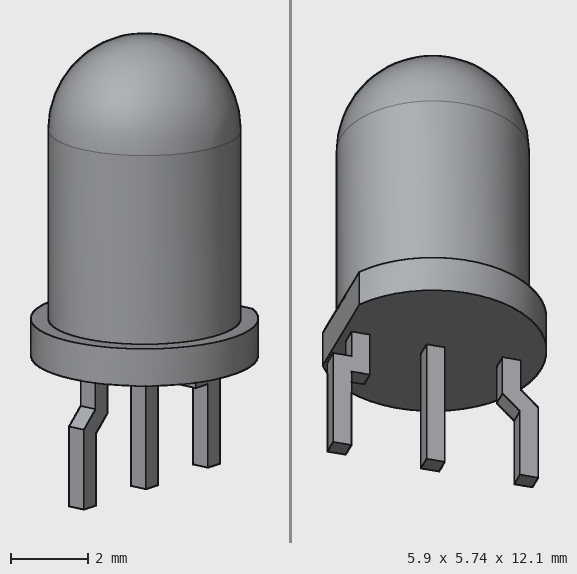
import cadquery as cq
import math

lens_diameter = 5.0
lens_radius = lens_diameter / 2
cylinder_height = 5.08
flange_diameter = 5.9
flange_radius = flange_diameter / 2
flange_height = 1.0
flat_y = lens_radius

lead_width = 0.5
lead_length = 3.5
rear_lead_length = 3.47
lead_pitch = 2.54

step_top_z = -0.75
step_height = 0.47
step_bottom_z = step_top_z - step_height

bend_offset = 0.475
bend_outer_z = -0.9
bend_inner_z = -1.11
bend_drop = 0.45


def make_housing():
    """Domed lens on its flange, with the flat on the +Y side of the flange."""
    dome_base_z = flange_height + cylinder_height
    dome_diagonal = lens_radius * math.sqrt(0.5)
    lens = (
        cq.Workplane("XZ")
        .lineTo(lens_radius, 0)
        .lineTo(lens_radius, dome_base_z)
        .threePointArc(
            (dome_diagonal, dome_base_z + dome_diagonal),
            (0, dome_base_z + lens_radius),
        )
        .close()
        .revolve(360, (0, 0, 0), (0, 1, 0))
    )
    flat_half_length = math.sqrt(flange_radius**2 - flat_y**2)
    flange = (
        cq.Workplane("XY")
        .moveTo(-flat_half_length, flat_y)
        .threePointArc((0, -flange_radius), (flat_half_length, flat_y))
        .close()
        .extrude(flange_height)
    )
    return flange.union(lens)


def make_lead(outline):
    """Lead with the given (y, z) outline, centred on x = 0."""
    return cq.Workplane("YZ").polyline(outline).close().extrude(lead_width / 2, both=True)


lower_outer_y = lead_pitch + lead_width / 2
lower_inner_y = lead_pitch - lead_width / 2

housing = make_housing()

centre_lead = make_lead([
    (-lead_width / 2, 0),
    (lead_width / 2, 0),
    (lead_width / 2, -lead_length),
    (-lead_width / 2, -lead_length),
])

rear_upper_inner_y = lower_inner_y - lead_width
rear_lead = make_lead([
    (rear_upper_inner_y, 0),
    (lower_inner_y, 0),
    (lower_inner_y, step_top_z),
    (lower_outer_y, step_top_z),
    (lower_outer_y, -rear_lead_length),
    (lower_inner_y, -rear_lead_length),
    (lower_inner_y, step_bottom_z),
    (rear_upper_inner_y, step_bottom_z),
])

front_upper_outer_y = lower_outer_y - bend_offset
front_upper_inner_y = lower_inner_y - bend_offset
front_lead = make_lead([
    (-front_upper_inner_y, 0),
    (-front_upper_outer_y, 0),
    (-front_upper_outer_y, bend_outer_z),
    (-lower_outer_y, bend_outer_z - bend_drop),
    (-lower_outer_y, -lead_length),
    (-lower_inner_y, -lead_length),
    (-lower_inner_y, bend_inner_z - bend_drop),
    (-front_upper_inner_y, bend_inner_z),
])

result = cq.Compound.makeCompound([
    housing.val(),
    centre_lead.val(),
    rear_lead.val(),
    front_lead.val(),
])